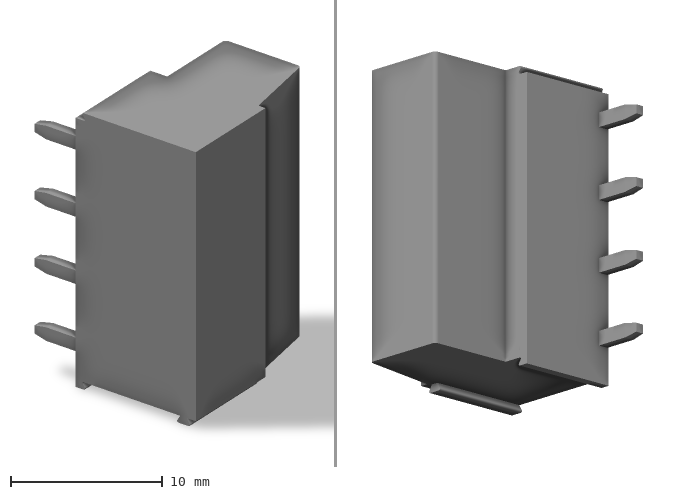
import cadquery as cq

total_height = 20.6
rail_height = 0.55
housing_width = 9.85
housing_depth = 13.8
left_shoulder_depth = 7.42
right_shoulder_depth = 7.7
left_wall_x = 2.02
slope_start_x = 9.27
slope_end_x = 8.22
rear_edge_radius = 0.3

dovetail_tip_x = 0.87
dovetail_root_x = 0.47
dovetail_radius = 0.1
second_rail_center_x = 8.84
second_rail_root_width = 0.54
second_rail_tip_width = 1.2

pin_count = 4
pin_pitch = 5.0
pin_length = 3.5
pin_taper_length = 1.0
pin_height = 1.0
pin_thickness = 0.76
pin_tip_height = 0.62
pin_tip_thickness = 0.62
pin_front_gap = 0.12
first_pin_z = 3.1

housing_height = total_height - rail_height


def extrude_to_shoulder(points):
    """Extrude an XZ outline from the front face back to the left shoulder."""
    return cq.Workplane("XZ").polyline(points).close().extrude(-left_shoulder_depth)


def make_housing():
    """Stepped housing with a sloped right side and rounded rear edges."""
    outline = [
        (0, 0),
        (housing_width, 0),
        (housing_width, right_shoulder_depth),
        (slope_start_x, right_shoulder_depth),
        (slope_end_x, housing_depth),
        (left_wall_x, housing_depth),
        (left_wall_x, left_shoulder_depth),
        (0, left_shoulder_depth),
    ]
    body = cq.Workplane("XY").workplane(offset=rail_height).polyline(outline).close().extrude(housing_height)
    rear_edges = body.faces(">Y").edges("|Z")
    return body.newObject(rear_edges.vals()).fillet(rear_edge_radius)


def make_edge_rail(base_z):
    """Half dovetail along the left edge, widest at its lower end, rounded at its tip."""
    rail = extrude_to_shoulder([
        (0, base_z),
        (dovetail_tip_x, base_z),
        (dovetail_root_x, base_z + rail_height),
        (0, base_z + rail_height),
    ])
    tip_edge = rail.faces("<Z").edges(">X").vals()
    return rail.newObject(tip_edge).fillet(dovetail_radius)


def make_second_rail():
    """Full dovetail near the right edge, widest at its lower end, with rounded tips."""
    half_root = second_rail_root_width / 2
    half_tip = second_rail_tip_width / 2
    rail = extrude_to_shoulder([
        (second_rail_center_x - half_tip, 0),
        (second_rail_center_x + half_tip, 0),
        (second_rail_center_x + half_root, rail_height),
        (second_rail_center_x - half_root, rail_height),
    ])
    return rail.faces("<Z").edges("|Y").fillet(dovetail_radius)


def make_pin(center_z):
    """Straight pin out of the left face with a tapered tip."""
    center_y = pin_front_gap + pin_thickness / 2
    shank_length = pin_length - pin_taper_length
    left_face = cq.Workplane("YZ", origin=(0, center_y, center_z))
    shank = left_face.rect(pin_thickness, pin_height).extrude(-shank_length)
    taper = (
        left_face.workplane(offset=-shank_length)
        .rect(pin_thickness, pin_height)
        .workplane(offset=-pin_taper_length)
        .rect(pin_tip_thickness, pin_tip_height)
        .loft(ruled=True)
    )
    return shank.union(taper)


def round_dovetail_root(part, base_z):
    """Round the housing edge where an edge dovetail meets the level base_z + rail_height."""
    near_root = cq.selectors.NearestToPointSelector(
        (dovetail_root_x, left_shoulder_depth / 2, base_z + rail_height)
    )
    return part.edges(near_root).fillet(dovetail_radius)


result = make_housing().cut(make_edge_rail(housing_height))
result = result.union(make_edge_rail(0)).union(make_second_rail())
result = round_dovetail_root(result, housing_height)
result = round_dovetail_root(result, 0)

for i in range(pin_count):
    result = result.union(make_pin(first_pin_z + i * pin_pitch))